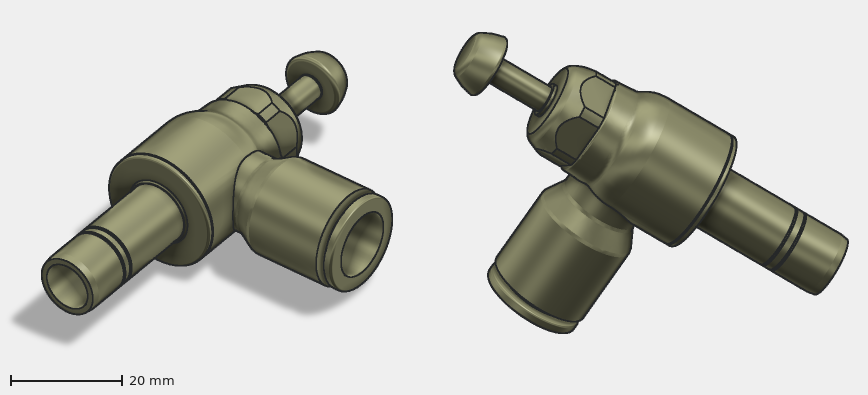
import cadquery as cq
import math


body_radius = 11.4
body_bottom = -14.5
body_bottom_fillet = 0.5
seam_top = -13.25
seam_width = 0.2
seam_depth = 0.1
shoulder_arc_radius = 8.1
shoulder_arc_top = 4.7
collar_base_y = 6.2
collar_base_radius = 9.5
collar_top_y = 10.2
collar_top_radius = 9.3
collar_fillet = 0.55

tube_radius = 6.0
tube_end = -41.65
tube_tip_length = 1.5
tube_tip_radius = 5.8
tube_ring_radius = 6.55
tube_ring_tip_radius = 6.2
tube_ring_height = 0.4
groove_tops = (-30.35, -32.2)
groove_width = 0.4
groove_depth = 0.15

nut_radius = 9.3
nut_across_flats = 17.0
nut_cone_base_y = 14.35
nut_cone_top_y = 17.5
nut_cone_top_radius = 8.0
nut_top_y = 18.7
nut_top_radius = 6.8

flange_radius = 3.2
flange_height = 0.7
stem_radius = 2.5
stem_collar_radius = 2.6
stem_collar_height = 0.2
knob_bottom_y = 30.8
knob_top_y = 36.35
knob_radius = 6.0
knob_bottom_fillet = 0.8
knob_crown_y = 35.6
knob_crown_radius = 4.6
knob_top_radius = 3.4
knob_side_bulge = 0.2

neck_radius = 7.4
branch_radius = 9.5
branch_cone_start = 12.25
branch_cone_end = 16.2
branch_cone_fillet = 1.4
branch_end = 31.7
sleeve_neck_radius = 6.6
sleeve_flange_start = 33.0
sleeve_end = 34.9
sleeve_flange_radius = 9.3
sleeve_flange_fillet = 0.5

tube_bore_radius = 4.6
tube_bore_end = 0.3
branch_bore_radius = 6.3
drill_tip_angle = 118


def around_y(profile):
    return profile.close().revolve(360, (0, 0, 0), (0, 1, 0))


def around_x(profile):
    return profile.close().revolve(360, (0, 0, 0), (1, 0, 0))


def ring_groove(outer_radius, top, width, depth):
    return around_y(
        cq.Workplane("XY")
        .moveTo(outer_radius - depth, top)
        .lineTo(outer_radius + depth, top)
        .lineTo(outer_radius + depth, top - width)
        .lineTo(outer_radius - depth, top - width)
    )


def drill_tip_length(radius):
    return radius / math.tan(math.radians(drill_tip_angle / 2))


def make_body():
    shoulder_angle = math.asin(shoulder_arc_top / shoulder_arc_radius)
    arc_center = body_radius - shoulder_arc_radius
    shoulder_mid = (
        arc_center + shoulder_arc_radius * math.cos(shoulder_angle / 2),
        shoulder_arc_radius * math.sin(shoulder_angle / 2),
    )
    shoulder_end = (arc_center + shoulder_arc_radius * math.cos(shoulder_angle), shoulder_arc_top)
    body = around_y(
        cq.Workplane("XY")
        .moveTo(0, body_bottom)
        .lineTo(body_radius, body_bottom)
        .lineTo(body_radius, 0)
        .threePointArc(shoulder_mid, shoulder_end)
        .tangentArcPoint((collar_base_radius, collar_base_y), relative=False)
        .lineTo(collar_top_radius, collar_top_y)
        .lineTo(0, collar_top_y)
    )
    body = body.faces("<Y").edges().fillet(body_bottom_fillet)
    body = body.faces(">Y").edges().fillet(collar_fillet)
    return body.cut(ring_groove(body_radius, seam_top, seam_width, seam_depth))


def make_tube():
    ring_end = body_bottom - tube_ring_height
    tube = around_y(
        cq.Workplane("XY")
        .moveTo(0, body_bottom)
        .lineTo(tube_ring_radius, body_bottom)
        .lineTo(tube_ring_tip_radius, ring_end)
        .lineTo(tube_radius, ring_end)
        .lineTo(tube_radius, tube_end + tube_tip_length)
        .lineTo(tube_tip_radius, tube_end)
        .lineTo(0, tube_end)
    )
    for top in groove_tops:
        tube = tube.cut(ring_groove(tube_radius, top, groove_width, groove_depth))
    return tube


def make_nut():
    rounded = around_y(
        cq.Workplane("XY")
        .moveTo(0, collar_top_y)
        .lineTo(nut_radius, collar_top_y)
        .lineTo(nut_radius, nut_cone_base_y)
        .lineTo(nut_cone_top_radius, nut_cone_top_y)
        .tangentArcPoint((nut_top_radius, nut_top_y), relative=False)
        .lineTo(0, nut_top_y)
    )
    across_corners = nut_across_flats / math.cos(math.radians(30))
    hexagon = (
        cq.Workplane("XZ", origin=(0, collar_top_y, 0))
        .polygon(6, across_corners)
        .extrude(-(nut_top_y - collar_top_y))
    )
    return rounded.intersect(hexagon)


def make_stem_and_knob():
    flange_top = nut_top_y + flange_height
    stem_collar_y = knob_bottom_y - stem_collar_height
    stem = around_y(
        cq.Workplane("XY")
        .moveTo(0, nut_top_y)
        .lineTo(flange_radius, nut_top_y)
        .lineTo(flange_radius, flange_top)
        .lineTo(stem_radius, flange_top)
        .lineTo(stem_radius, stem_collar_y)
        .lineTo(stem_collar_radius, stem_collar_y)
        .lineTo(stem_collar_radius, knob_bottom_y)
        .lineTo(0, knob_bottom_y)
    )
    side_base_y = knob_bottom_y + knob_bottom_fillet
    side_mid = (
        (knob_radius + knob_crown_radius) / 2 + knob_side_bulge,
        (side_base_y + knob_crown_y) / 2,
    )
    knob = around_y(
        cq.Workplane("XY")
        .moveTo(0, knob_bottom_y)
        .lineTo(knob_radius - knob_bottom_fillet, knob_bottom_y)
        .radiusArc((knob_radius, side_base_y), -knob_bottom_fillet)
        .threePointArc(side_mid, (knob_crown_radius, knob_crown_y))
        .tangentArcPoint((knob_top_radius, knob_top_y), relative=False)
        .lineTo(0, knob_top_y)
    )
    return stem.union(knob)


def make_branch():
    branch = around_x(
        cq.Workplane("XY")
        .lineTo(0, neck_radius)
        .lineTo(branch_cone_start, neck_radius)
        .lineTo(branch_cone_end, branch_radius)
        .lineTo(branch_end, branch_radius)
        .lineTo(branch_end, 0)
    )
    for cone_x in (branch_cone_start, branch_cone_end):
        cone_edge = cq.selectors.NearestToPointSelector((cone_x, 0, 0))
        branch = branch.edges("%CIRCLE").edges(cone_edge).fillet(branch_cone_fillet)
    sleeve_neck = (
        cq.Workplane("YZ", origin=(branch_end, 0, 0))
        .circle(sleeve_neck_radius)
        .extrude(sleeve_flange_start - branch_end)
    )
    sleeve_flange = (
        cq.Workplane("YZ", origin=(sleeve_flange_start, 0, 0))
        .circle(sleeve_flange_radius)
        .extrude(sleeve_end - sleeve_flange_start)
        .edges()
        .fillet(sleeve_flange_fillet)
    )
    return branch.union(sleeve_neck).union(sleeve_flange)


def make_bores():
    tube_tip = drill_tip_length(tube_bore_radius)
    tube_bore = around_y(
        cq.Workplane("XY")
        .moveTo(0, tube_end)
        .lineTo(tube_bore_radius, tube_end)
        .lineTo(tube_bore_radius, tube_bore_end)
        .lineTo(0, tube_bore_end + tube_tip)
    )
    branch_tip = drill_tip_length(branch_bore_radius)
    branch_bore = around_x(
        cq.Workplane("XY")
        .moveTo(-branch_tip, 0)
        .lineTo(0, branch_bore_radius)
        .lineTo(sleeve_end, branch_bore_radius)
        .lineTo(sleeve_end, 0)
    )
    return tube_bore.union(branch_bore)


solid_parts = (
    make_body()
    .union(make_tube())
    .union(make_nut())
    .union(make_stem_and_knob())
    .union(make_branch())
)
result = solid_parts.cut(make_bores())